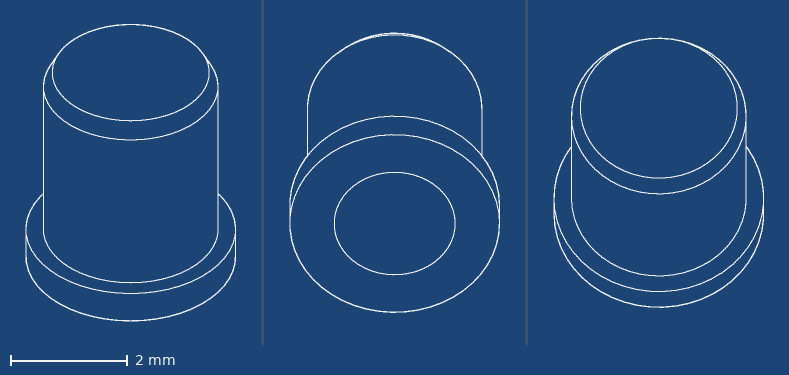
import cadquery as cq

total_height = 4.6
flange_diameter = 3.6
flange_thickness = 0.6
body_diameter = 3.0
ball_radius = 1.2
ball_protrusion = 0.6
lead_in_height = 0.3
lead_in_width = 0.15

body_top = total_height - ball_protrusion


def make_flange():
    return cq.Workplane("XY").circle(flange_diameter / 2).extrude(flange_thickness)


def make_body():
    """Cylindrical body with a steep lead-in chamfer around its top edge."""
    body = cq.Workplane("XY").circle(body_diameter / 2).extrude(body_top)
    return body.faces(">Z").chamfer(lead_in_height, lead_in_width)


def make_ball():
    """Ball seated in the body, with only its lower cap exposed."""
    ball_center = ball_radius - ball_protrusion
    return cq.Workplane("XY").sphere(ball_radius).translate((0, 0, ball_center))


result = make_body().union(make_flange()).union(make_ball())